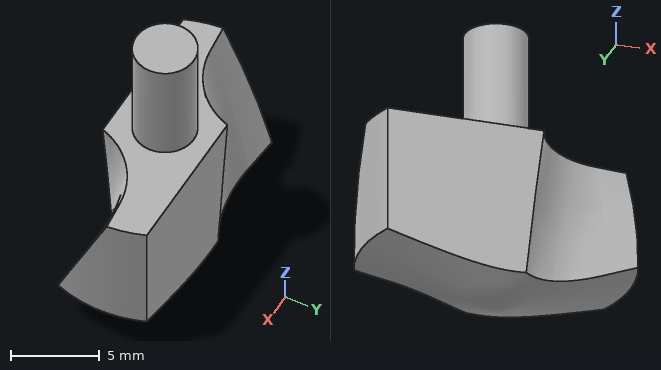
import cadquery as cq
import math

total_height = 16.9
body_diameter = 15.99
body_thickness = 5.97
body_top = 10.0
point_height = 2.43
shank_diameter = 3.7

lip_angle = 5.0
lip_slope = 5.7
lip_length = 1.86
flute_radius = 4.95
flute_twist = 32.7
clearance = 3.38

body_radius = body_diameter / 2


def make_body():
    """Conically pointed cylinder, flattened to a plate."""
    revolved = (
        cq.Workplane("XZ")
        .moveTo(0, 0)
        .lineTo(body_radius, point_height)
        .lineTo(body_radius, body_top)
        .lineTo(0, body_top)
        .close()
        .revolve(360, (0, 0, 0), (0, 1, 0))
    )
    plate = cq.Workplane("XY").box(
        body_diameter, body_thickness, body_top, centered=(True, True, False)
    )
    return revolved.intersect(plate)


def make_flute():
    """Helical cutter: a flat lip running tangent into a round root."""
    slope = math.radians(lip_slope)
    lip_x = body_radius * math.cos(math.radians(lip_angle))
    lip_y = body_radius * math.sin(math.radians(lip_angle))
    tangent_x = lip_x - lip_length
    tangent_y = lip_y - lip_length * math.tan(slope)
    center_x = tangent_x + flute_radius * math.sin(slope)
    center_y = tangent_y - flute_radius * math.cos(slope)
    outer_x = body_radius + clearance
    outer_y = lip_y + (outer_x - lip_x) * math.tan(slope)
    root_x = center_x - flute_radius
    mid_angle = math.radians(135)
    arc_middle = (
        center_x + flute_radius * math.cos(mid_angle),
        center_y + flute_radius * math.sin(mid_angle),
    )
    return (
        cq.Workplane("XY")
        .moveTo(outer_x, outer_y)
        .lineTo(tangent_x, tangent_y)
        .threePointArc(arc_middle, (root_x, center_y))
        .lineTo(root_x, -outer_x)
        .lineTo(outer_x, -outer_x)
        .close()
        .twistExtrude(body_top, flute_twist)
        .rotate((0, 0, 0), (0, 0, 1), -flute_twist)
    )


def make_shank():
    """Plain round shank standing on the body."""
    return (
        cq.Workplane("XY", origin=(0, 0, body_top))
        .circle(shank_diameter / 2)
        .extrude(total_height - body_top)
    )


flute = make_flute()
body = make_body()
for turn in (0, 180):
    body = body.cut(flute.rotate((0, 0, 0), (0, 0, 1), turn))

result = body.union(make_shank())